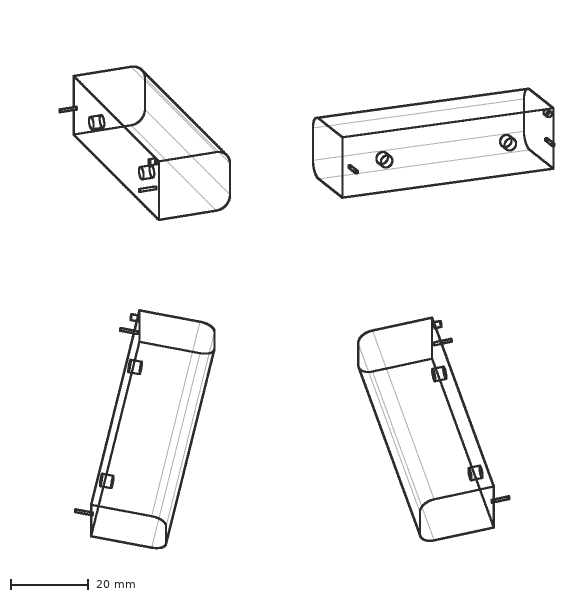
import cadquery as cq

length = 58.95
overall_depth = 24.4
height = 16.5
pin_length = 4.6
body_depth = overall_depth - pin_length
back_radius = 3.85

pin_diameter = 0.75
pin_spacing = 54.9
hole_diameter = 3.25
hole_spacing = 34.55
hole_offset = 0.1
hole_depth = 2.95
peg_diameter = 1.6
peg_length = 1.75


def front_cylinder(x, z, diameter, extent):
    """Cylinder from the front face; positive extent projects out, negative goes into the body."""
    return cq.Workplane("XZ").center(x, z).circle(diameter / 2).extrude(extent)


result = cq.Workplane("XY").box(length, body_depth, height, centered=(True, False, True))
result = result.edges("|X and >Y").fillet(back_radius)

for side in (-1, 1):
    result = result.cut(front_cylinder(hole_offset + side * hole_spacing / 2, 0, hole_diameter, -hole_depth))
    result = result.union(front_cylinder(side * pin_spacing / 2, 0, pin_diameter, pin_length))

peg_z = height / 2 - peg_diameter / 2
result = result.union(front_cylinder(pin_spacing / 2, peg_z, peg_diameter, peg_length))